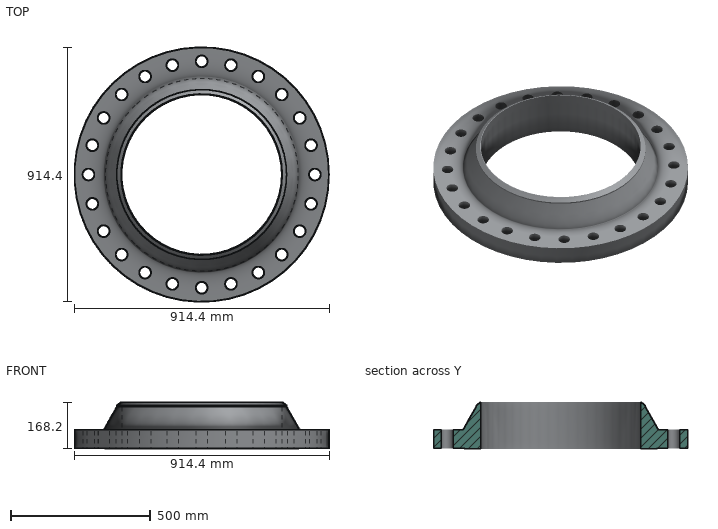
import cadquery as cq
import math

flange_diameter = 914.4
flange_thickness = 69.85
raised_face_diameter = 692.15
raised_face_height = 2.0

overall_height = 168.21
hub_base_diameter = 702.0
hub_fillet_radius = 3.0
pipe_outer_diameter = 609.6
pipe_wall = 17.48
weld_root_land = 2.0
weld_bevel_angle = 37.5
weld_neck_length = 5.0

bolt_count = 24
bolt_circle_diameter = 812.8
bolt_hole_diameter = 41.3

edge_margin = 1.0

bore_radius = pipe_outer_diameter / 2 - pipe_wall
pipe_radius = pipe_outer_diameter / 2
hub_base_radius = hub_base_diameter / 2
bevel_width = pipe_wall - weld_root_land
bevel_height = bevel_width * math.tan(math.radians(weld_bevel_angle))
bevel_bottom = overall_height - bevel_height
taper_top = bevel_bottom - weld_neck_length


def make_body():
    """Revolve the half section (radius, height) about Z."""
    section = [
        (bore_radius, 0),
        (raised_face_diameter / 2, 0),
        (raised_face_diameter / 2, raised_face_height),
        (flange_diameter / 2, raised_face_height),
        (flange_diameter / 2, flange_thickness),
        (hub_base_radius, flange_thickness),
        (pipe_radius, taper_top),
        (pipe_radius, bevel_bottom),
        (bore_radius + weld_root_land, overall_height),
        (bore_radius, overall_height),
    ]
    return cq.Workplane("XZ").polyline(section).close().revolve(360, (0, 0, 0), (0, 1, 0))


def round_hub_base(body):
    """Fillet the circle where the tapered hub meets the flange plate."""
    hub_base_edge = cq.selectors.BoxSelector(
        (-hub_base_radius - edge_margin, -hub_base_radius - edge_margin, flange_thickness - edge_margin),
        (hub_base_radius + edge_margin, hub_base_radius + edge_margin, flange_thickness + edge_margin),
        boundingbox=True,
    )
    return body.edges(hub_base_edge).fillet(hub_fillet_radius)


def make_bolt_holes():
    """Ring of through-hole cutters, the first one on +X."""
    return (
        cq.Workplane("XY")
        .polarArray(bolt_circle_diameter / 2, 0, 360, bolt_count)
        .circle(bolt_hole_diameter / 2)
        .extrude(flange_thickness)
    )


result = round_hub_base(make_body()).cut(make_bolt_holes())